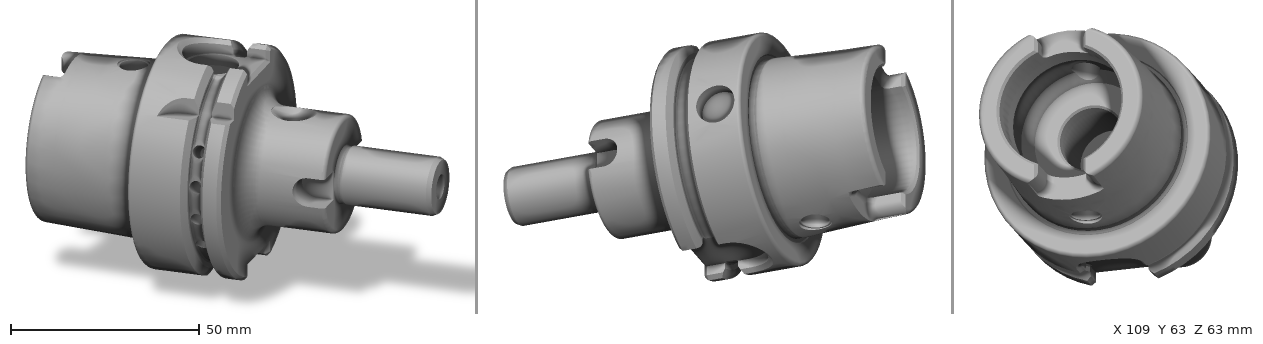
import cadquery as cq
import math


clearance = 0.5

total_length = 109.0
shank_length = 31.9
flange_width = 26.0
body_end = 81.9

shank_mouth_radius = 22.8
shank_root_radius = 24.2
flange_radius = 31.5
body_radius = 16.0
pilot_radius = 8.0

flange_end = shank_length + flange_width

shank_edge_round = 1.2
flange_edge_round = 1.0
flange_back_chamfer = 1.0
neck_fillet = 5.0
body_edge_round = 1.1
pilot_edge_chamfer = 1.3
pilot_chamfer_height = 0.7

relief_start = 30.1
relief_floor_start = 30.6
relief_floor_end = 31.4
relief_depth = 0.16
relief_face_radius = 25.5
relief_face_depth = 0.3

pilot_relief_width = 2.1
pilot_relief_depth = 0.3
pilot_relief_slope = 0.8

groove_center = 49.9
groove_floor_width = 3.7
groove_floor_radius = 27.5
groove_corner_bevel = 0.4
groove_bevel_width = 1.3
groove_bevel_angle = 60.0

bore_depth = 27.2
bore_radius = 17.0
bore_mouth_radius = 17.7
bore_mouth_depth = 0.7
clamp_recess_start = 12.5
clamp_recess_radius = 18.5
clamp_recess_angle = 60.0
bore_bottom_radius = 15.7
thread_hole_radius = 9.4
thread_hole_chamfer = 0.5
thread_hole_depth = 18.5
coolant_radius = 3.4
coolant_chamfer = 1.3

drive_slot_half_width = 6.3
drive_slot_depth_top = 6.1
drive_slot_depth_bottom = 10.0
drive_slot_edge_radius = 2.8
drive_slot_edge_start = 18.0
drive_slot_corner_radius = 1.5
drive_slot_mouth_chamfer = 0.9

clamp_hole_x = 22.8
clamp_hole_radius = 3.8
clamp_hole_rim_radius = 4.4
clamp_hole_rim_bottom = 23.2

keyway_center_x = 44.9
keyway_half_width = 8.1
keyway_floor = 26.5
keyway_chamfer = 1.3
keyway_pocket_radius = 7.1
keyway_pocket_depth = 3.0

notch_offset = 20.0
notch_center_x = 44.8
notch_radius = 7.7

chip_hole_x = 38.9
chip_hole_radius = 5.5
chip_hole_depth = 4.6

balance_hole_radius = 1.7
balance_hole_depth = 6.5
balance_hole_tip_angle = 118.0
balance_hole_first_angle = 25.0
balance_hole_pitch = 20.0
balance_hole_count = 4

dimple_x = 67.9
dimple_radius = 6.2
dimple_tip_angle = 120.0

key_width = 8.2
key_end_x = 73.0
key_floor = 8.4


def revolve(profile):
    return profile.close().revolve(360, (0, 0, 0), (1, 0, 0))


def vertical_cylinder(x, radius, bottom, height):
    return cq.Workplane("XY", origin=(x, 0, bottom)).circle(radius).extrude(height)


def box_between(x_range, y_range, z_range):
    sizes = [high - low for low, high in (x_range, y_range, z_range)]
    corner = (x_range[0], y_range[0], z_range[0])
    return cq.Workplane("XY", origin=corner).box(*sizes, centered=False)


def mirrored_below(solid):
    return solid.union(solid.mirror("XY"))


def shank():
    solid = revolve(
        cq.Workplane("XY")
        .lineTo(0, shank_mouth_radius)
        .lineTo(relief_start, shank_root_radius)
        .lineTo(shank_length, shank_root_radius)
        .lineTo(shank_length, 0)
    )
    return solid.faces("<X").edges().fillet(shank_edge_round)


def face_relief():
    floor_radius = shank_root_radius - relief_depth
    face_bottom = shank_length + relief_face_depth
    return revolve(
        cq.Workplane("XY")
        .moveTo(relief_start, shank_root_radius)
        .lineTo(relief_floor_start, floor_radius)
        .lineTo(relief_floor_end, floor_radius)
        .lineTo(face_bottom, shank_root_radius)
        .lineTo(face_bottom, relief_face_radius - relief_face_depth)
        .lineTo(shank_length, relief_face_radius)
        .lineTo(relief_start, relief_face_radius)
    )


def keyway():
    return vertical_cylinder(keyway_center_x, keyway_half_width, keyway_floor, flange_radius).union(
        box_between(
            (keyway_center_x, total_length),
            (-keyway_half_width, keyway_half_width),
            (keyway_floor, keyway_floor + flange_radius),
        )
    )


def gripper_groove():
    half_floor = groove_floor_width / 2
    half_mouth = half_floor + groove_bevel_width
    bevel_bottom = flange_radius - groove_bevel_width * math.tan(math.radians(groove_bevel_angle))
    return revolve(
        cq.Workplane("XY")
        .moveTo(groove_center - half_floor + groove_corner_bevel, groove_floor_radius)
        .lineTo(groove_center - half_floor, groove_floor_radius + groove_corner_bevel)
        .lineTo(groove_center - half_floor, bevel_bottom)
        .lineTo(groove_center - half_mouth, flange_radius)
        .lineTo(groove_center - half_mouth, flange_radius + clearance)
        .lineTo(groove_center + half_mouth, flange_radius + clearance)
        .lineTo(groove_center + half_mouth, flange_radius)
        .lineTo(groove_center + half_floor, bevel_bottom)
        .lineTo(groove_center + half_floor, groove_floor_radius + groove_corner_bevel)
        .lineTo(groove_center + half_floor - groove_corner_bevel, groove_floor_radius)
    )


def flange():
    disc = cq.Workplane("YZ", origin=(shank_length, 0, 0)).circle(flange_radius).extrude(flange_width)
    disc = disc.faces("<X").edges().fillet(flange_edge_round)
    disc = disc.cut(mirrored_below(keyway()))
    reach = keyway_half_width + clearance
    for side in (1, -1):
        keyway_rim = cq.selectors.BoxSelector(
            (shank_length + flange_edge_round, -reach, side * (keyway_floor + clearance)),
            (flange_end - clearance, reach, side * (flange_radius + clearance)),
        )
        disc = disc.edges(keyway_rim).chamfer(keyway_chamfer)
    disc = disc.faces(">X").edges().chamfer(flange_back_chamfer)
    return disc.cut(gripper_groove())


def neck_and_body():
    arc_start_radius = body_radius + neck_fillet
    arc_reach = neck_fillet * math.sin(math.radians(45))
    arc_middle = (flange_end + neck_fillet - arc_reach, arc_start_radius - arc_reach)
    solid = revolve(
        cq.Workplane("XY")
        .moveTo(shank_length, 0)
        .lineTo(shank_length, arc_start_radius)
        .lineTo(flange_end, arc_start_radius)
        .threePointArc(arc_middle, (flange_end + neck_fillet, body_radius))
        .lineTo(body_end, body_radius)
        .lineTo(body_end, 0)
    )
    return solid.faces(">X").edges().fillet(body_edge_round)


def pilot():
    relief_radius = pilot_radius - pilot_relief_depth
    relief_end = body_end + pilot_relief_width
    return revolve(
        cq.Workplane("XY")
        .moveTo(body_end, 0)
        .lineTo(body_end, pilot_radius)
        .lineTo(body_end + pilot_relief_slope, relief_radius)
        .lineTo(relief_end - pilot_relief_slope, relief_radius)
        .lineTo(relief_end, pilot_radius)
        .lineTo(total_length - pilot_edge_chamfer, pilot_radius)
        .lineTo(total_length, pilot_radius - pilot_chamfer_height)
        .lineTo(total_length, 0)
    )


def bore():
    recess_slope = math.tan(math.radians(clamp_recess_angle))
    recess_full = clamp_recess_start + (clamp_recess_radius - bore_radius) / recess_slope
    thread_end = bore_depth + thread_hole_depth
    return revolve(
        cq.Workplane("XY")
        .lineTo(0, bore_mouth_radius)
        .lineTo(bore_mouth_depth, bore_radius)
        .lineTo(clamp_recess_start, bore_radius)
        .lineTo(recess_full, clamp_recess_radius)
        .lineTo(bore_depth - (clamp_recess_radius - bore_bottom_radius), clamp_recess_radius)
        .lineTo(bore_depth, bore_bottom_radius)
        .lineTo(bore_depth, thread_hole_radius)
        .lineTo(bore_depth + thread_hole_chamfer, thread_hole_radius - thread_hole_chamfer)
        .lineTo(thread_end, thread_hole_radius - thread_hole_chamfer)
        .lineTo(thread_end, coolant_radius + coolant_chamfer)
        .lineTo(thread_end + coolant_chamfer, coolant_radius)
        .lineTo(total_length, coolant_radius)
        .lineTo(total_length, 0)
    )


def drive_slot(depth):
    rounded = drive_slot_edge_radius
    flare_half_width = drive_slot_half_width + rounded
    flare_height = drive_slot_edge_start + rounded
    arc_reach = rounded * math.sin(math.radians(45))
    arc_middle = (flare_half_width - arc_reach, drive_slot_edge_start + arc_reach)
    slot = (
        cq.Workplane("YZ")
        .lineTo(drive_slot_half_width, 0)
        .lineTo(drive_slot_half_width, drive_slot_edge_start)
        .threePointArc(arc_middle, (flare_half_width, flare_height))
        .lineTo(flare_half_width, flange_radius)
        .lineTo(-flare_half_width, flange_radius)
        .lineTo(-flare_half_width, flare_height)
        .threePointArc(
            (-arc_middle[0], arc_middle[1]),
            (-drive_slot_half_width, drive_slot_edge_start),
        )
        .lineTo(-drive_slot_half_width, 0)
        .close()
        .extrude(depth)
    )
    wall_edges = cq.selectors.BoxSelector(
        (0, -flare_half_width + clearance, clearance),
        (depth + clearance, flare_half_width - clearance, flare_height),
    )
    slot = slot.faces(">X").edges(wall_edges).fillet(drive_slot_corner_radius)
    mouth_half_width = drive_slot_half_width + drive_slot_mouth_chamfer
    mouth = (
        cq.Workplane("XY")
        .moveTo(0, mouth_half_width)
        .lineTo(drive_slot_mouth_chamfer, drive_slot_half_width)
        .lineTo(drive_slot_mouth_chamfer, -drive_slot_half_width)
        .lineTo(0, -mouth_half_width)
        .close()
        .extrude(flange_radius)
    )
    return slot.union(mouth)


def clamp_hole():
    hole = vertical_cylinder(clamp_hole_x, clamp_hole_radius, -flange_radius, 2 * flange_radius)
    rim = vertical_cylinder(clamp_hole_x, clamp_hole_rim_radius, clamp_hole_rim_bottom, flange_radius)
    return hole.union(mirrored_below(rim))


def keyway_pocket():
    pocket_bottom = keyway_floor - keyway_pocket_depth
    return vertical_cylinder(keyway_center_x, keyway_pocket_radius, pocket_bottom, keyway_pocket_depth)


def orientation_notch():
    depth = flange_radius - notch_offset
    return (
        cq.Workplane("XY", origin=(0, 0, notch_offset))
        .moveTo(flange_end, -notch_offset)
        .lineTo(notch_center_x, -notch_offset)
        .radiusArc((notch_center_x - notch_radius, -notch_offset - notch_radius), -notch_radius)
        .lineTo(notch_center_x - notch_radius, -flange_radius)
        .lineTo(flange_end, -flange_radius)
        .close()
        .extrude(depth)
    )


def chip_hole():
    return (
        cq.Workplane("XZ", origin=(chip_hole_x, flange_radius, 0))
        .circle(chip_hole_radius)
        .extrude(chip_hole_depth)
    )


def balance_holes():
    bottom = groove_floor_radius - balance_hole_depth
    tip = bottom - balance_hole_radius / math.tan(math.radians(balance_hole_tip_angle / 2))
    first = (
        cq.Workplane("XY", origin=(groove_center, 0, 0))
        .moveTo(0, -tip)
        .lineTo(balance_hole_radius, -bottom)
        .lineTo(balance_hole_radius, -groove_floor_radius - clearance)
        .lineTo(0, -groove_floor_radius - clearance)
        .close()
        .revolve(360, (0, 0, 0), (0, 1, 0))
    )
    holes = cq.Workplane("XY")
    for index in range(balance_hole_count):
        angle = balance_hole_first_angle - index * balance_hole_pitch
        holes = holes.union(first.rotate((0, 0, 0), (1, 0, 0), -angle))
    return holes


def dimple():
    slope = math.tan(math.radians(dimple_tip_angle / 2))
    tip = body_radius - dimple_radius / slope
    return (
        cq.Workplane("XZ", origin=(dimple_x, 0, tip))
        .lineTo(dimple_radius, dimple_radius / slope)
        .lineTo(dimple_radius, body_radius)
        .lineTo(0, body_radius)
        .close()
        .revolve(360, (0, 0, 0), (0, 1, 0))
    )


def key_seats():
    key_half_width = key_width / 2
    center_x = key_end_x + key_half_width
    seat = (
        cq.Workplane("XZ")
        .workplane(offset=key_floor)
        .moveTo(body_end, key_half_width)
        .lineTo(center_x, key_half_width)
        .threePointArc((key_end_x, 0), (center_x, -key_half_width))
        .lineTo(body_end, -key_half_width)
        .close()
        .extrude(body_radius)
    )
    return seat.union(seat.mirror("XZ"))


result = shank().union(flange()).union(neck_and_body()).union(pilot())

cutters = [
    face_relief(),
    bore(),
    drive_slot(drive_slot_depth_top),
    drive_slot(drive_slot_depth_bottom).mirror("XY"),
    clamp_hole(),
    keyway_pocket(),
    orientation_notch(),
    chip_hole(),
    balance_holes(),
    dimple(),
    key_seats(),
]
for cutter in cutters:
    result = result.cut(cutter)